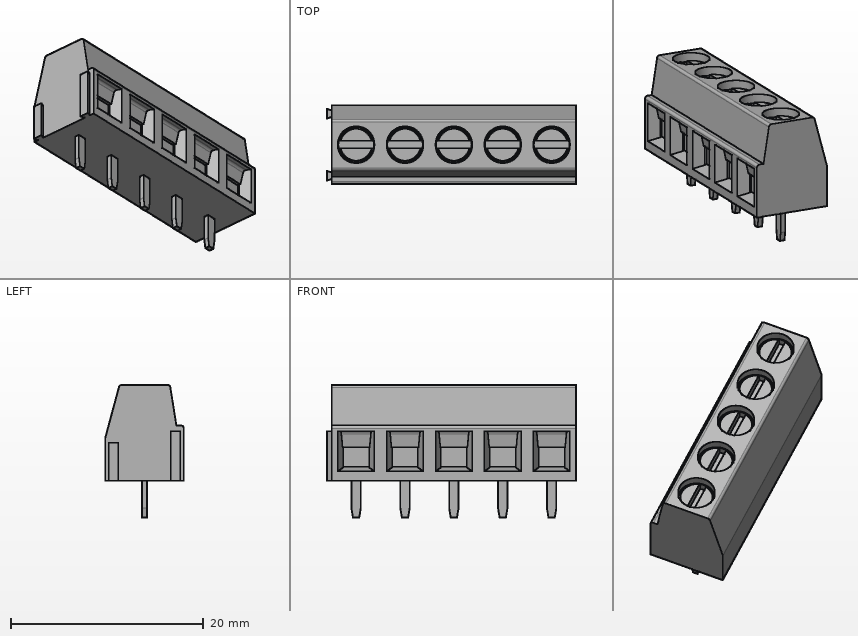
import cadquery as cq


overall_length = 25.9
pole_count = 5

rail_reach = 0.5
body_length = overall_length - rail_reach
pitch = body_length / pole_count
body_depth = 8.2
body_height = 10.0
ledge_depth = 0.78
ledge_height = 5.78
back_wall_height = 4.43
front_slope_run = 0.67
back_slope_run = 1.5
edge_radius = 0.3
pole_y = body_depth / 2

rail_width = 1.04
rail_root_width = 0.7
rail_edge_offset = 0.35
front_rail_height = 5.18
back_rail_height = 4.0

entry_width = 3.8
entry_inner_width = 2.7
entry_depth = 1.37
entry_taper_depth = 1.17
entry_bottom = 1.0
entry_inner_bottom = 1.48
entry_top = 5.18
entry_inner_top = 3.52
clamp_bottom_depth = 1.04
clamp_top_depth = 0.73
roof_fillet = 0.3

screw_hole_radius = 1.92
screw_recess = 0.78
screw_head_radius = 1.85
screw_chamfer = 0.18
slot_width = 0.78
slot_depth = 1.0

pin_width = 1.0
pin_tip_width = 0.67
pin_thickness = 0.55
pin_length = 3.8
pin_straight_length = 2.8


def housing():
    profile = [
        (0, 0),
        (0, ledge_height),
        (ledge_depth, ledge_height),
        (ledge_depth + front_slope_run, body_height),
        (body_depth - back_slope_run, body_height),
        (body_depth, back_wall_height),
        (body_depth, 0),
    ]
    body = cq.Workplane("YZ").polyline(profile).close().extrude(body_length)
    top_edges = body.faces(">Z").edges("|X")
    ledge_edge = body.edges(cq.selectors.NearestToPointSelector((body_length / 2, 0, ledge_height)))
    return body.newObject(top_edges.vals() + ledge_edge.vals()).fillet(edge_radius)


def dovetail_rail(y_center, height):
    """Upright rail that widens away from the left end of the housing."""
    outline = [
        (0, y_center - rail_root_width / 2),
        (-rail_reach, y_center - rail_width / 2),
        (-rail_reach, y_center + rail_width / 2),
        (0, y_center + rail_root_width / 2),
    ]
    return cq.Workplane("XY").polyline(outline).close().extrude(height)


def wire_entry(x):
    """Funnel cutter whose sides taper, then run straight.

    A leaning clamp face hangs over the inner end and is rounded into the flat roof.
    """
    section = [
        (0, entry_bottom),
        (entry_depth, entry_inner_bottom),
        (entry_depth, entry_inner_top),
        (clamp_bottom_depth, entry_inner_top),
        (clamp_top_depth, entry_top),
        (0, entry_top),
    ]
    plan = [
        (x - entry_width / 2, 0),
        (x + entry_width / 2, 0),
        (x + entry_inner_width / 2, entry_taper_depth),
        (x + entry_inner_width / 2, entry_depth),
        (x - entry_inner_width / 2, entry_depth),
        (x - entry_inner_width / 2, entry_taper_depth),
    ]
    side_envelope = cq.Workplane("XY").polyline(plan).close().extrude(body_height)
    section_prism = (
        cq.Workplane("YZ", origin=(x, 0, 0))
        .polyline(section)
        .close()
        .extrude(entry_width / 2, both=True)
    )
    roof_corner = cq.selectors.NearestToPointSelector((x, clamp_top_depth, entry_top))
    section_prism = section_prism.edges("|X").edges(roof_corner).fillet(roof_fillet)
    return section_prism.intersect(side_envelope)


def screw_recess_cutter(x):
    """Screw hole with the chamfered, slotted screw head left standing at its bottom."""
    head_top = body_height - screw_recess
    head_base = head_top - screw_chamfer
    hole = (
        cq.Workplane("XY", origin=(x, pole_y, head_base))
        .circle(screw_hole_radius)
        .extrude(body_height - head_base)
    )
    head = (
        cq.Workplane("XY", origin=(x, pole_y, head_top - slot_depth))
        .circle(screw_head_radius)
        .extrude(slot_depth)
    )
    slot = (
        cq.Workplane("XY", origin=(x, pole_y, head_top - slot_depth))
        .rect(2 * screw_head_radius, slot_width)
        .extrude(slot_depth)
        .intersect(head)
    )
    return hole.cut(head.faces(">Z").chamfer(screw_chamfer)).union(slot)


def solder_pin(x):
    outline = [
        (x - pin_width / 2, 0),
        (x - pin_width / 2, -pin_straight_length),
        (x - pin_tip_width / 2, -pin_length),
        (x + pin_tip_width / 2, -pin_length),
        (x + pin_width / 2, -pin_straight_length),
        (x + pin_width / 2, 0),
    ]
    return (
        cq.Workplane("XZ", origin=(0, pole_y, 0))
        .polyline(outline)
        .close()
        .extrude(pin_thickness / 2, both=True)
    )


rail_inset = rail_edge_offset + rail_width / 2
result = housing()
result = result.union(dovetail_rail(rail_inset, front_rail_height))
result = result.union(dovetail_rail(body_depth - rail_inset, back_rail_height))

for pole in range(pole_count):
    pole_x = (pole + 0.5) * pitch
    result = result.cut(wire_entry(pole_x))
    result = result.cut(screw_recess_cutter(pole_x))
    result = result.union(solder_pin(pole_x))